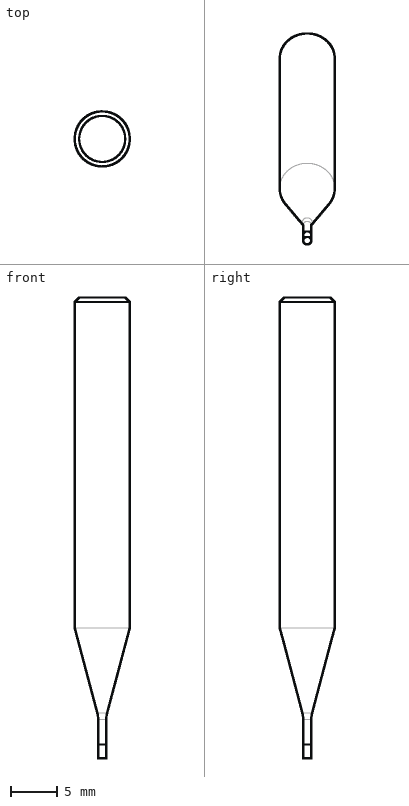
import cadquery as cq
import math

TOTAL_LENGTH = 50.0
SHANK_RADIUS = 3.0
SHANK_CHAMFER = 0.5

HEAD_RADIUS = 0.45
HEAD_LENGTH = 1.5

NECK_RADIUS = 0.45
NECK_TOP = 4.2
CONE_BOTTOM = 4.95
CONE_TOP = 14.15
CONE_BOTTOM_RADIUS = 0.55


def make_shank():
    """Chamfered shank with a cone, a concave blend and a slender neck."""
    blend_height = CONE_BOTTOM - NECK_TOP
    blend_width = CONE_BOTTOM_RADIUS - NECK_RADIUS
    blend_angle = 2 * math.atan2(blend_width, blend_height)
    blend_radius = blend_height / math.sin(blend_angle)
    blend_mid = (
        NECK_RADIUS + blend_radius * (1 - math.cos(blend_angle / 2)),
        NECK_TOP + blend_radius * math.sin(blend_angle / 2),
    )
    return (
        cq.Workplane("XZ")
        .moveTo(0, HEAD_LENGTH)
        .lineTo(NECK_RADIUS, HEAD_LENGTH)
        .lineTo(NECK_RADIUS, NECK_TOP)
        .threePointArc(blend_mid, (CONE_BOTTOM_RADIUS, CONE_BOTTOM))
        .lineTo(SHANK_RADIUS, CONE_TOP)
        .lineTo(SHANK_RADIUS, TOTAL_LENGTH - SHANK_CHAMFER)
        .lineTo(SHANK_RADIUS - SHANK_CHAMFER, TOTAL_LENGTH)
        .lineTo(0, TOTAL_LENGTH)
        .close()
        .revolve(360, (0, 0, 0), (0, 1, 0))
    )


def make_cutting_head():
    """Plain cylindrical head that meets the end face of the neck."""
    return cq.Workplane("XY").circle(HEAD_RADIUS).extrude(HEAD_LENGTH)


shank = make_shank()
cutting_head = make_cutting_head()

result = cq.Compound.makeCompound([shank.val(), cutting_head.val()])